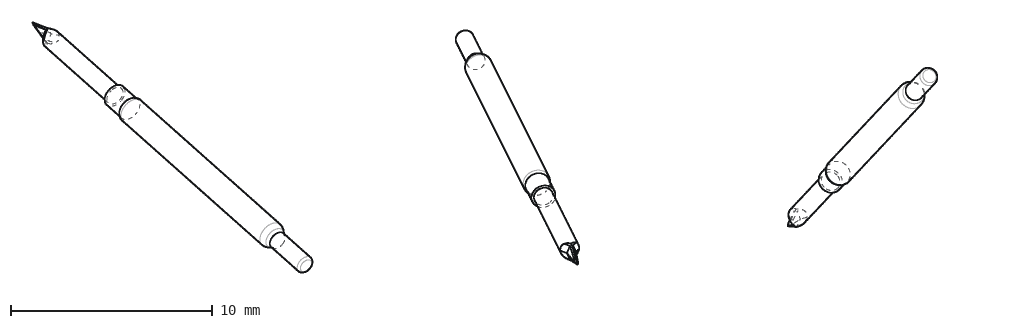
import cadquery as cq
import math

PLUNGER_RADIUS = 0.97 / 2
COLLAR_RADIUS = 1.23 / 2
BARREL_RADIUS = 1.37 / 2
TAIL_RADIUS = 0.92 / 2

LENGTH = 23.62
COLLAR_START = 7.09
BARREL_START = 8.35
BARREL_ROUND_LENGTH = 0.21
CRIMP_START = 20.6
CRIMP_LENGTH = 0.57
CRIMP_BEND_RADIUS = 0.5
CRIMP_CONE_ANGLE = 43
TAIL_ROUND = 0.12

BLADE_LENGTH = 1.23
SHOULDER_ANGLE = 37
FLANK_ROLL = 22
FLANK_TIP_WIDTH = 0.055
FLANK_END_WIDTH = 0.24
BEVEL_ROLL = 47
BEVEL_TIP_WIDTH = 0.02
BEVEL_END_WIDTH = 0.5
CUT_REACH = 2.83


def turned_body():
    """Revolve the stepped pin, with a rounded front shoulder and a crimped rear end."""
    bend = math.radians(CRIMP_CONE_ANGLE)
    bend_center_radius = BARREL_RADIUS - CRIMP_BEND_RADIUS

    def bend_point(angle):
        return (
            CRIMP_START + CRIMP_BEND_RADIUS * math.sin(angle),
            bend_center_radius + CRIMP_BEND_RADIUS * math.cos(angle),
        )

    tail_start = CRIMP_START + CRIMP_LENGTH
    round_end = BARREL_START + BARREL_ROUND_LENGTH
    round_height = BARREL_RADIUS - COLLAR_RADIUS
    diagonal = math.sqrt(0.5)
    round_middle = (
        round_end - BARREL_ROUND_LENGTH * diagonal,
        COLLAR_RADIUS + round_height * diagonal,
    )
    profile = (
        cq.Workplane("XY")
        .lineTo(0, PLUNGER_RADIUS)
        .lineTo(COLLAR_START, PLUNGER_RADIUS)
        .lineTo(COLLAR_START, COLLAR_RADIUS)
        .lineTo(BARREL_START, COLLAR_RADIUS)
        .threePointArc(round_middle, (round_end, BARREL_RADIUS))
        .lineTo(CRIMP_START, BARREL_RADIUS)
        .threePointArc(bend_point(bend / 2), bend_point(bend))
        .lineTo(tail_start, TAIL_RADIUS)
        .lineTo(LENGTH - TAIL_ROUND, TAIL_RADIUS)
        .tangentArcPoint((LENGTH, TAIL_RADIUS - TAIL_ROUND), relative=False)
        .lineTo(LENGTH, 0)
        .close()
    )
    return profile.revolve(360, (0, 0, 0), (1, 0, 0))


def facet_cutter(roll, tip_width, end_width):
    """Make the wedge that cuts one blade facet and the shoulder behind it.

    The widths are measured along Y from the pin axis to the facet, at both blade ends.
    """
    lean = math.cos(math.radians(roll))
    tip_offset = tip_width * lean
    end_offset = end_width * lean
    shoulder_slope = math.tan(math.radians(SHOULDER_ANGLE)) * lean
    shoulder_end = BLADE_LENGTH + (CUT_REACH - end_offset) / shoulder_slope
    return (
        cq.Workplane("XY")
        .moveTo(0, tip_offset)
        .lineTo(BLADE_LENGTH, end_offset)
        .lineTo(shoulder_end, CUT_REACH)
        .lineTo(0, CUT_REACH)
        .close()
        .extrude(CUT_REACH, both=True)
        .rotate((0, 0, 0), (1, 0, 0), roll)
    )


def cut_facets(body, roll, tip_width, end_width):
    """Cut the same facet in all four quadrants."""
    cutter = facet_cutter(roll, tip_width, end_width)
    opposite = cutter.mirror("XZ")
    for side in (cutter, opposite):
        body = body.cut(side).cut(side.mirror("XY"))
    return body


result = turned_body()
result = cut_facets(result, FLANK_ROLL, FLANK_TIP_WIDTH, FLANK_END_WIDTH)
result = cut_facets(result, BEVEL_ROLL, BEVEL_TIP_WIDTH, BEVEL_END_WIDTH)